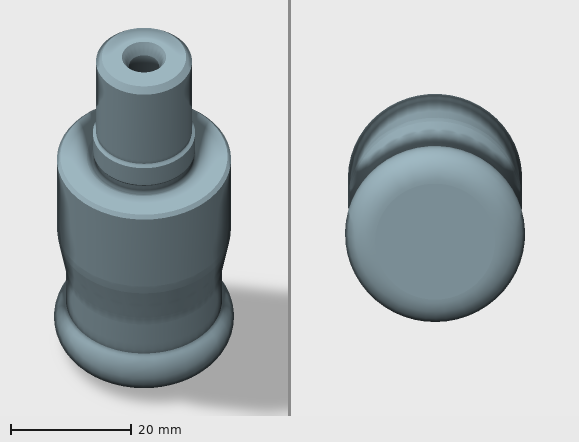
import cadquery as cq
import math

total_height = 65.0

foot_section_radius = 5.0
foot_radius = 29.95 / 2
socket_floor_z = foot_section_radius

body_radius = 29.0 / 2
waist_radius = 26.0 / 2
shoulder_z = 42.0
body_edge_chamfer = 0.6
taper_top_z = 25.95
taper_angle = math.radians(10)
taper_blend_height = 1.75

stud_radius = 16.0 / 2
stud_tip_chamfer = 1.0
collar_radius = 17.0 / 2
collar_top_z = 48.05
collar_bottom_z = 43.6

neck_radius = 16.6 / 2
neck_top_z = 43.2
relief_depth = 0.25
relief_fillet_radius = 0.45
relief_outer_radius = 19.0 / 2

center_hole_radius = 5.0 / 2
center_sink_radius = 7.35 / 2
center_sink_half_angle = math.radians(30)
center_hole_depth = 7.8
drill_tip_half_angle = math.radians(59)


def revolve_about_z(profile):
    """Close a radius/height profile and turn it about the Z axis."""
    return profile.close().revolve(360, (0, 0, 0), (0, 1, 0))


def make_foot():
    section_center_radius = foot_radius - foot_section_radius
    waist_offset = waist_radius - section_center_radius
    rim_top_z = foot_section_radius + math.sqrt(foot_section_radius**2 - waist_offset**2)
    profile = (
        cq.Workplane("XZ")
        .lineTo(section_center_radius, 0)
        .threePointArc((foot_radius, foot_section_radius), (waist_radius, rim_top_z))
        .lineTo(waist_radius, socket_floor_z)
        .lineTo(0, socket_floor_z)
    )
    return revolve_about_z(profile)


def make_center_hole():
    sink_depth = (center_sink_radius - center_hole_radius) / math.tan(center_sink_half_angle)
    tip_height = center_hole_radius / math.tan(drill_tip_half_angle)
    hole_bottom_z = total_height - center_hole_depth
    profile = (
        cq.Workplane("XZ")
        .moveTo(0, total_height)
        .lineTo(center_sink_radius, total_height)
        .lineTo(center_hole_radius, total_height - sink_depth)
        .lineTo(center_hole_radius, hole_bottom_z)
        .lineTo(0, hole_bottom_z - tip_height)
    )
    return revolve_about_z(profile)


def make_body():
    blend_step = taper_blend_height * math.tan(taper_angle / 2)
    cone_top_radius = body_radius - blend_step
    cone_bottom_radius = waist_radius + blend_step
    cone_height = (cone_top_radius - cone_bottom_radius) / math.tan(taper_angle)
    cone_top_z = taper_top_z - taper_blend_height
    cone_bottom_z = cone_top_z - cone_height
    waist_top_z = cone_bottom_z - taper_blend_height

    relief_floor_z = shoulder_z - relief_depth
    relief_floor_radius = neck_radius + relief_fillet_radius

    collar_bevel = collar_radius - stud_radius

    profile = (
        cq.Workplane("XZ")
        .moveTo(0, socket_floor_z)
        .lineTo(waist_radius, socket_floor_z)
        .lineTo(waist_radius, waist_top_z)
        .tangentArcPoint((cone_bottom_radius, cone_bottom_z), relative=False)
        .lineTo(cone_top_radius, cone_top_z)
        .tangentArcPoint((body_radius, taper_top_z), relative=False)
        .lineTo(body_radius, shoulder_z - body_edge_chamfer)
        .lineTo(body_radius - body_edge_chamfer, shoulder_z)
        .lineTo(relief_outer_radius, shoulder_z)
        .lineTo(relief_floor_radius, relief_floor_z)
        .radiusArc((neck_radius, relief_floor_z + relief_fillet_radius), relief_fillet_radius)
        .lineTo(neck_radius, neck_top_z)
        .lineTo(collar_radius, collar_bottom_z)
        .lineTo(collar_radius, collar_top_z - collar_bevel)
        .lineTo(stud_radius, collar_top_z)
        .lineTo(stud_radius, total_height - stud_tip_chamfer)
        .lineTo(stud_radius - stud_tip_chamfer, total_height)
        .lineTo(0, total_height)
    )
    return revolve_about_z(profile).cut(make_center_hole())


foot = make_foot()
body = make_body()

result = cq.Compound.makeCompound([foot.val(), body.val()])